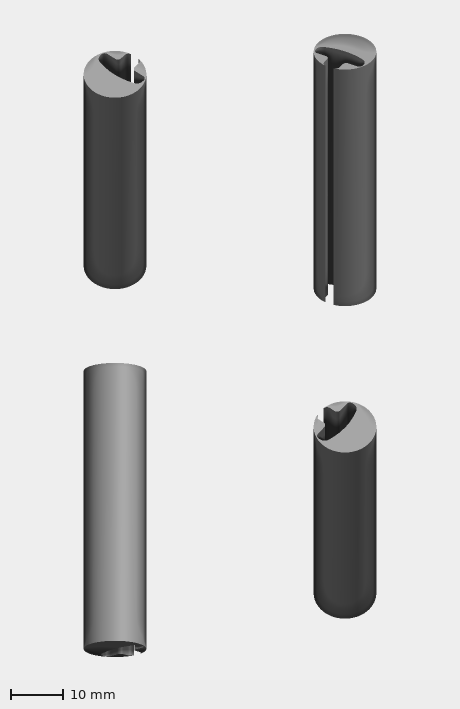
import cadquery as cq
import math

LENGTH = 55.0
BAR_RADIUS = 6.0

NECK_HALF_WIDTH = 1.7
LIP_RADIUS = 0.95
LEDGE_Y = 3.1
FLOOR_Y = -0.1
CHAMBER_HALF_WIDTH = 5.2
EDGE_RADIUS = 0.75
FLOOR_RADIUS = 13.2
FLOOR_CORNER_RADIUS = 1.4

LIP_CENTER_X = NECK_HALF_WIDTH - LIP_RADIUS
LIP_CENTER_Y = math.sqrt((BAR_RADIUS - LIP_RADIUS)**2 - LIP_CENTER_X**2)
LIP_ANGLE = math.atan2(LIP_CENTER_Y, LIP_CENTER_X)

FLOOR_CENTER_Y = FLOOR_Y + FLOOR_RADIUS
CORNER_X = CHAMBER_HALF_WIDTH - FLOOR_CORNER_RADIUS
CENTER_DISTANCE = FLOOR_RADIUS - FLOOR_CORNER_RADIUS
CORNER_Y = FLOOR_CENTER_Y - math.sqrt(CENTER_DISTANCE**2 - CORNER_X**2)
TANGENT_ANGLE = math.atan2(CORNER_Y - FLOOR_CENTER_Y, CORNER_X)

CUT_TOP_Y = BAR_RADIUS + 0.55


def arc_point(center_x, center_y, radius, angle):
    """Point on a circle at an angle in radians."""
    return center_x + radius * math.cos(angle), center_y + radius * math.sin(angle)


def half_channel():
    """Right half of the channel, from the mouth down to the floor."""
    lip_tip = arc_point(0, 0, BAR_RADIUS, LIP_ANGLE)
    diagonal = math.radians(45)
    shoulder_x = NECK_HALF_WIDTH + EDGE_RADIUS
    shoulder_y = LEDGE_Y + EDGE_RADIUS
    upper_x = CHAMBER_HALF_WIDTH - EDGE_RADIUS
    upper_y = LEDGE_Y - EDGE_RADIUS
    floor_end = arc_point(0, FLOOR_CENTER_Y, FLOOR_RADIUS, TANGENT_ANGLE)
    floor_middle_angle = (TANGENT_ANGLE - math.pi / 2) / 2
    floor_middle = arc_point(0, FLOOR_CENTER_Y, FLOOR_RADIUS, floor_middle_angle)
    return (
        cq.Workplane("XY")
        .moveTo(0, CUT_TOP_Y)
        .lineTo(lip_tip[0], CUT_TOP_Y)
        .lineTo(*lip_tip)
        .threePointArc(
            arc_point(LIP_CENTER_X, LIP_CENTER_Y, LIP_RADIUS, LIP_ANGLE / 2),
            (NECK_HALF_WIDTH, LIP_CENTER_Y),
        )
        .lineTo(NECK_HALF_WIDTH, shoulder_y)
        .threePointArc(
            arc_point(shoulder_x, shoulder_y, EDGE_RADIUS, math.pi + diagonal),
            (shoulder_x, LEDGE_Y),
        )
        .lineTo(upper_x, LEDGE_Y)
        .threePointArc(
            arc_point(upper_x, upper_y, EDGE_RADIUS, diagonal),
            (CHAMBER_HALF_WIDTH, upper_y),
        )
        .lineTo(CHAMBER_HALF_WIDTH, CORNER_Y)
        .threePointArc(
            arc_point(CORNER_X, CORNER_Y, FLOOR_CORNER_RADIUS, TANGENT_ANGLE / 2),
            floor_end,
        )
        .threePointArc(floor_middle, (0, FLOOR_Y))
        .close()
        .extrude(LENGTH)
    )


bar = cq.Workplane("XY").circle(BAR_RADIUS).extrude(LENGTH)
right_half = half_channel()
channel = right_half.union(right_half.mirror("YZ"))
result = bar.cut(channel)